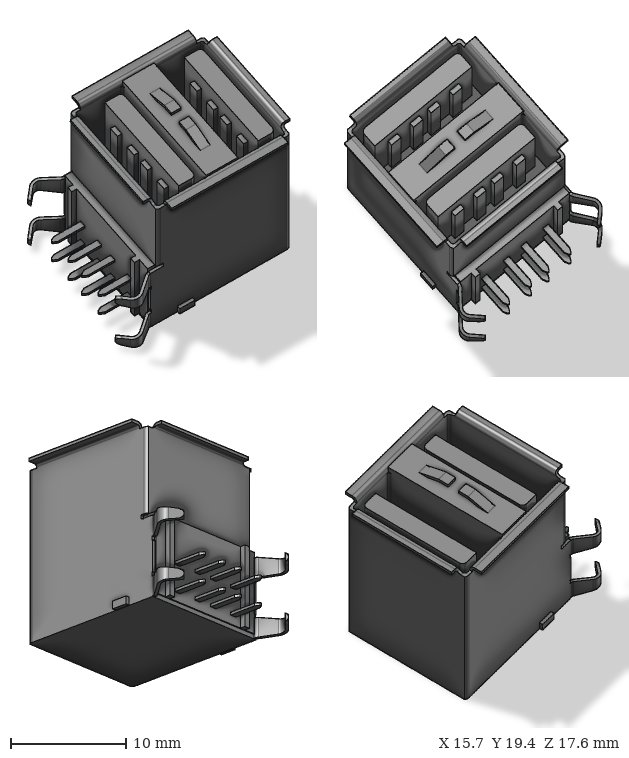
import math

import cadquery as cq


SHEET = 0.3
SHELL_WIDTH = 13.0
SHELL_DEPTH = 14.2
SHELL_CORNER_RADIUS = 0.6
SHELL_FRONT_HALF_WIDTH = 6.34
RIM_Z = 16.35
HALF_WIDTH = SHELL_WIDTH / 2
HALF_DEPTH = SHELL_DEPTH / 2
INNER_HALF_WIDTH = HALF_WIDTH - SHEET

FLANGE_TOP_Z = 16.97
FLANGE_BEND_RADIUS = 0.23
FLANGE_REACH_SIDE = 0.97
FLANGE_REACH_END = 0.7
SIDE_FLANGE_LENGTH = 12.36
END_FLANGE_LENGTH = 10.9
END_FLANGE_FLARE_RADIUS = 0.5

PLATE_FRONT_Y = -7.75
HOUSING_FRONT_Y = -7.85
HOUSING_BOTTOM_Z = 0.42
LEDGE_Z = 8.14
SIDE_SLOT_HEIGHT = 0.42
SIDE_SLOT_BACK_Y = -6.37
SIDE_SLOT_CORNER_RADIUS = 0.1
RIB_X = 4.7
RIB_WIDTH = 0.56
RIB_PROJECTION = 0.53

CAVITY_FLOOR_Z = LEDGE_Z
CAVITY_CORNER_RADIUS = 0.25
DIVIDER_FRONT_Y = -1.68
DIVIDER_BACK_Y = 1.69
DIVIDER_HALF_WIDTH = 6.28
INNER_END_Y = HALF_DEPTH - SHEET
CARRIER_HALF_WIDTH = 5.54
CARRIER_THICKNESS = 1.83
CARRIER_TOP_Z = 16.5
CARRIER_CORNER_RADIUS = 0.47
CARRIER_FRONT_YS = (-4.07, 4.38)
CONTACT_XS = (-3.5, -1.0, 1.0, 3.5)
CONTACT_WIDTH = 1.05
CONTACT_DEPTH = 0.48
CONTACT_TOP_Z = 14.77

SPRING_TOP_Z = 17.62
SPRING_WIDTH = 1.05
SPRING_INNER_X = 0.57
SPRING_BEND_X = 1.62
SPRING_ROOT_X = 3.78

PIN_ZS = (1.4, 4.0)
PIN_WIDTH = 0.64
PIN_THICKNESS = 0.27
PIN_TIP_Y = -11.16
PIN_TIP_LENGTH = 0.45
PIN_TIP_WIDTH = 0.25
PIN_TIP_ARC_HEIGHT = 0.06

LEG_ZS = (1.02, 6.7)
LEG_ROOT_HEIGHT = 1.92
LEG_END_HEIGHT = 0.98
LEG_TIP_Y = -11.57
LEG_OUTER_X = 7.85
LEG_OUT_ANGLE = math.radians(38)
LEG_IN_ANGLE = math.radians(47)
LEG_BEND_Y = -10.05
LEG_BEND_RADIUS = 0.65
LEG_ROOT_BEND_RADIUS = 0.4
LEG_TAPER_START_Y = -8.0
RELIEF_HEIGHT = 0.36
RELIEF_DEPTH = 0.1

PAD_BACK_Y = -3.27
PAD_LENGTH = 1.62
PAD_BOTTOM_Z = 0.05
PAD_HEIGHT = 0.75
PAD_PROJECTION = 0.35


def block(x0, x1, y0, y1, z0, z1):
    """Box between opposite corner coordinates."""
    return cq.Workplane("XY").box(x1 - x0, y1 - y0, z1 - z0, centered=False).translate((x0, y0, z0))


def with_mirror(body):
    """The body together with its mirror image across X = 0."""
    return body.union(body.mirror("YZ"))


def shell_outline():
    """Outer outline whose corner arcs run smoothly off the sides and end in an edge at front and back."""
    x_step = SHELL_FRONT_HALF_WIDTH - (HALF_WIDTH - SHELL_CORNER_RADIUS)
    y_step = math.sqrt(SHELL_CORNER_RADIUS**2 - x_step**2)
    x = SHELL_FRONT_HALF_WIDTH
    side_y = HALF_DEPTH - y_step
    return (
        cq.Workplane("XY")
        .moveTo(HALF_WIDTH, -side_y)
        .lineTo(HALF_WIDTH, side_y)
        .tangentArcPoint((x, HALF_DEPTH), relative=False)
        .lineTo(-x, HALF_DEPTH)
        .radiusArc((-HALF_WIDTH, side_y), -SHELL_CORNER_RADIUS)
        .lineTo(-HALF_WIDTH, -side_y)
        .tangentArcPoint((-x, -HALF_DEPTH), relative=False)
        .lineTo(x, -HALF_DEPTH)
        .radiusArc((HALF_WIDTH, -side_y), -SHELL_CORNER_RADIUS)
        .close()
    )


def shell_and_housing():
    """Upper tube and the wider lower block, filled up to the cavity floor."""
    tube = shell_outline().extrude(RIM_Z)

    plate_top_z = LEDGE_Z - SIDE_SLOT_HEIGHT
    plates = block(-HALF_WIDTH, HALF_WIDTH, PLATE_FRONT_Y, 0, 0, plate_top_z)
    housing = block(
        -INNER_HALF_WIDTH, INNER_HALF_WIDTH, HOUSING_FRONT_Y, 0, HOUSING_BOTTOM_Z, LEDGE_Z
    )
    slot = block(
        INNER_HALF_WIDTH, HALF_WIDTH, HOUSING_FRONT_Y, SIDE_SLOT_BACK_Y, plate_top_z, LEDGE_Z
    )
    slot = slot.edges(">Y and |X").fillet(SIDE_SLOT_CORNER_RADIUS)
    rib = block(
        RIB_X - RIB_WIDTH / 2,
        RIB_X + RIB_WIDTH / 2,
        HOUSING_FRONT_Y - RIB_PROJECTION,
        HOUSING_FRONT_Y,
        HOUSING_BOTTOM_Z,
        LEDGE_Z,
    )
    return tube.union(plates).cut(with_mirror(slot)).union(housing).union(with_mirror(rib))


def cavity(front_y, back_y):
    """Socket opening between two Y positions."""
    height = FLANGE_TOP_Z - CAVITY_FLOOR_Z
    body = cq.Workplane("XY").rect(2 * INNER_HALF_WIDTH, back_y - front_y).extrude(height)
    body = body.edges("|Z").fillet(CAVITY_CORNER_RADIUS)
    return body.translate((0, (front_y + back_y) / 2, CAVITY_FLOOR_Z))


def divider():
    """Bar between the two sockets, level with the flanges."""
    return block(
        -DIVIDER_HALF_WIDTH,
        DIVIDER_HALF_WIDTH,
        DIVIDER_FRONT_Y,
        DIVIDER_BACK_Y,
        CAVITY_FLOOR_Z,
        FLANGE_TOP_Z,
    )


def flange(length, reach):
    """Flange bent towards +X from a wall whose outer face is X = 0, centred on Y = 0."""
    under_z = FLANGE_TOP_Z - SHEET
    bend_z = under_z - FLANGE_BEND_RADIUS
    outer_radius = FLANGE_BEND_RADIUS + SHEET
    diagonal = math.cos(math.pi / 4)
    mid_outer = (FLANGE_BEND_RADIUS - outer_radius * diagonal, bend_z + outer_radius * diagonal)
    mid_inner = (FLANGE_BEND_RADIUS * (1 - diagonal), bend_z + FLANGE_BEND_RADIUS * diagonal)
    profile = (
        cq.Workplane("XZ")
        .moveTo(-SHEET, RIM_Z)
        .lineTo(-SHEET, bend_z)
        .threePointArc(mid_outer, (FLANGE_BEND_RADIUS, FLANGE_TOP_Z))
        .lineTo(reach, FLANGE_TOP_Z)
        .lineTo(reach, under_z)
        .lineTo(FLANGE_BEND_RADIUS, under_z)
        .threePointArc(mid_inner, (0, bend_z))
        .lineTo(0, RIM_Z)
        .close()
    )
    return profile.extrude(length / 2, both=True)


def end_flange():
    """Front or back flange, pointing to +X, whose ends flare into the rim."""
    radius = END_FLANGE_FLARE_RADIUS
    half_length = END_FLANGE_LENGTH / 2
    sheet = flange(END_FLANGE_LENGTH + 2 * radius, FLANGE_REACH_END)
    mid = radius * (1 - math.cos(math.pi / 4))
    outline = (
        cq.Workplane("YZ", origin=(-SHEET, 0, 0))
        .moveTo(-half_length - radius, RIM_Z)
        .lineTo(half_length + radius, RIM_Z)
        .threePointArc((half_length + mid, RIM_Z + mid), (half_length, RIM_Z + radius))
        .lineTo(half_length, FLANGE_TOP_Z)
        .lineTo(-half_length, FLANGE_TOP_Z)
        .lineTo(-half_length, RIM_Z + radius)
        .threePointArc((-half_length - mid, RIM_Z + mid), (-half_length - radius, RIM_Z))
        .close()
    )
    return sheet.intersect(outline.extrude(SHEET + FLANGE_REACH_END))


def flanges():
    """The four flanges around the rim."""
    side = flange(SIDE_FLANGE_LENGTH, FLANGE_REACH_SIDE).translate((HALF_WIDTH, 0, 0))
    end = end_flange().translate((HALF_DEPTH, 0, 0)).rotate((0, 0, 0), (0, 0, 1), 90)
    return with_mirror(side).union(end).union(end.mirror("XZ"))


def carrier(front_y):
    """Contact carrier standing in a socket, with four contacts along its front face."""
    back_y = front_y + CARRIER_THICKNESS
    body = block(
        -CARRIER_HALF_WIDTH, CARRIER_HALF_WIDTH, front_y, back_y, CAVITY_FLOOR_Z, CARRIER_TOP_Z
    )
    body = body.edges(">Y and |Z").fillet(CARRIER_CORNER_RADIUS)
    for x in CONTACT_XS:
        contact = block(
            x - CONTACT_WIDTH / 2,
            x + CONTACT_WIDTH / 2,
            front_y - CONTACT_DEPTH,
            front_y,
            CAVITY_FLOOR_Z,
            CONTACT_TOP_Z,
        )
        body = body.union(contact)
    return body


def springs():
    """Two sheet springs rising from the divider towards its middle."""
    slope = math.atan2(SPRING_TOP_Z - FLANGE_TOP_Z, SPRING_ROOT_X - SPRING_BEND_X)
    under_z = SPRING_TOP_Z - SHEET
    under_bend_x = SPRING_BEND_X - SHEET * math.tan(slope / 2)
    under_root_x = under_bend_x + (under_z - FLANGE_TOP_Z) / math.tan(slope)
    spring = (
        cq.Workplane("XZ")
        .polyline(
            [
                (SPRING_INNER_X, SPRING_TOP_Z),
                (SPRING_BEND_X, SPRING_TOP_Z),
                (SPRING_ROOT_X, FLANGE_TOP_Z),
                (under_root_x, FLANGE_TOP_Z),
                (under_bend_x, under_z),
                (SPRING_INNER_X, under_z),
            ]
        )
        .close()
        .extrude(SPRING_WIDTH / 2, both=True)
    )
    return with_mirror(spring)


def pin(x, z):
    """Flat solder pin with a tapered tip, pointing towards -Y."""
    shoulder_y = PIN_TIP_Y + PIN_TIP_LENGTH
    tip_start_y = PIN_TIP_Y + PIN_TIP_ARC_HEIGHT
    outline = (
        cq.Workplane("XY", origin=(x, 0, z - PIN_THICKNESS / 2))
        .moveTo(-PIN_WIDTH / 2, HOUSING_FRONT_Y)
        .lineTo(-PIN_WIDTH / 2, shoulder_y)
        .lineTo(-PIN_TIP_WIDTH / 2, tip_start_y)
        .threePointArc((0, PIN_TIP_Y), (PIN_TIP_WIDTH / 2, tip_start_y))
        .lineTo(PIN_WIDTH / 2, shoulder_y)
        .lineTo(PIN_WIDTH / 2, HOUSING_FRONT_Y)
        .close()
    )
    return outline.extrude(PIN_THICKNESS)


def leg(z):
    """Board-lock leg on the +X side: bent out, then back in, and tapered to a round end."""
    outer_radius = LEG_BEND_RADIUS + SHEET
    turn = LEG_OUT_ANGLE + LEG_IN_ANGLE
    lean = (LEG_OUT_ANGLE - LEG_IN_ANGLE) / 2
    corner_x = LEG_OUTER_X - outer_radius * (1 - math.cos(lean) / math.cos(turn / 2))
    inner_corner_offset = SHEET / math.cos(turn / 2)
    inner_corner_x = corner_x - inner_corner_offset * math.cos(lean)
    inner_corner_y = LEG_BEND_Y - inner_corner_offset * math.sin(lean)

    root_y = LEG_BEND_Y + (corner_x - HALF_WIDTH) / math.tan(LEG_OUT_ANGLE)
    inner_root_y = inner_corner_y + (inner_corner_x - INNER_HALF_WIDTH) / math.tan(LEG_OUT_ANGLE)
    end_length = (LEG_BEND_Y - LEG_TIP_Y) / math.cos(LEG_IN_ANGLE)
    end_x = corner_x - end_length * math.sin(LEG_IN_ANGLE)
    inner_end_x = end_x - SHEET * math.cos(LEG_IN_ANGLE)
    inner_end_y = LEG_TIP_Y + SHEET * math.sin(LEG_IN_ANGLE)
    strip = (
        cq.Workplane("XY")
        .polyline(
            [
                (HALF_WIDTH, PLATE_FRONT_Y),
                (HALF_WIDTH, root_y),
                (corner_x, LEG_BEND_Y),
                (end_x, LEG_TIP_Y),
                (inner_end_x, inner_end_y),
                (inner_corner_x, inner_corner_y),
                (INNER_HALF_WIDTH, inner_root_y),
                (INNER_HALF_WIDTH, PLATE_FRONT_Y),
            ]
        )
        .close()
        .extrude(LEG_ROOT_HEIGHT / 2, both=True)
    )
    bends = (
        (corner_x, LEG_BEND_Y, outer_radius),
        (inner_corner_x, inner_corner_y, LEG_BEND_RADIUS),
        (HALF_WIDTH, root_y, LEG_ROOT_BEND_RADIUS),
        (INNER_HALF_WIDTH, inner_root_y, LEG_ROOT_BEND_RADIUS + SHEET),
    )
    for x, y, radius in bends:
        bend_edge = cq.selectors.NearestToPointSelector((x, y, 0))
        strip = strip.edges("|Z").edges(bend_edge).fillet(radius)

    half_root = LEG_ROOT_HEIGHT / 2
    half_end = LEG_END_HEIGHT / 2
    round_y = LEG_TIP_Y + half_end
    taper = (
        cq.Workplane("YZ")
        .moveTo(PLATE_FRONT_Y, -half_root)
        .lineTo(LEG_TAPER_START_Y, -half_root)
        .lineTo(round_y, -half_end)
        .threePointArc((LEG_TIP_Y, 0), (round_y, half_end))
        .lineTo(LEG_TAPER_START_Y, half_root)
        .lineTo(PLATE_FRONT_Y, half_root)
        .close()
        .extrude(LEG_OUTER_X)
    )
    return strip.intersect(taper).translate((0, 0, z))


def relief_notches():
    """Bend reliefs in the plate edge, on the facing sides of the two legs."""
    lower_z = LEG_ZS[0] + LEG_ROOT_HEIGHT / 2
    upper_z = LEG_ZS[1] - LEG_ROOT_HEIGHT / 2 - RELIEF_HEIGHT
    relief_back_y = PLATE_FRONT_Y + RELIEF_DEPTH
    notches = cq.Workplane("XY")
    for z in (lower_z, upper_z):
        notch = block(
            INNER_HALF_WIDTH, HALF_WIDTH, PLATE_FRONT_Y, relief_back_y, z, z + RELIEF_HEIGHT
        )
        notches = notches.union(notch)
    return with_mirror(notches)


def side_pad():
    """Shallow rectangular pad on the +X side."""
    return block(
        HALF_WIDTH,
        HALF_WIDTH + PAD_PROJECTION,
        PAD_BACK_Y - PAD_LENGTH,
        PAD_BACK_Y,
        PAD_BOTTOM_Z,
        PAD_BOTTOM_Z + PAD_HEIGHT,
    )


result = shell_and_housing()
result = result.cut(cavity(-INNER_END_Y, DIVIDER_FRONT_Y))
result = result.cut(cavity(DIVIDER_BACK_Y, INNER_END_Y))
result = result.union(divider()).union(flanges()).union(springs())
for carrier_front_y in CARRIER_FRONT_YS:
    result = result.union(carrier(carrier_front_y))
for pin_z in PIN_ZS:
    for pin_x in CONTACT_XS:
        result = result.union(pin(pin_x, pin_z))
for leg_z in LEG_ZS:
    result = result.union(with_mirror(leg(leg_z)))
result = result.cut(relief_notches()).union(with_mirror(side_pad()))